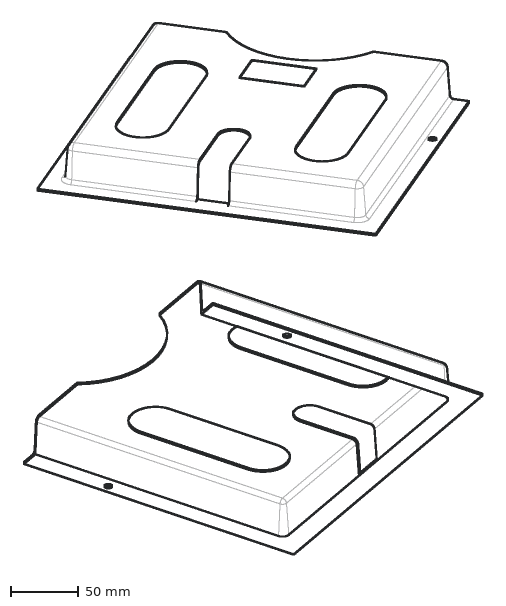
import cadquery as cq
import math

width = 264.0
depth = 238.0
height = 32.0
sheet = 1.5
front_y = -depth / 2
rear_y = depth / 2

top_edge_x = 110.4
top_front_margin = 23.5
top_front_y = front_y + top_front_margin
draft = math.radians(4.3)
top_radius = 5.0
toe_radius = 3.0

slot_width = 40.5
slot_length = 135.2
slot_offset_x = 70.0
slot_center_y = rear_y - 124.3
notch_width = 24.8
notch_end_y = rear_y - 156.5
scoop_width = 114.8
scoop_depth = 30.4
label_width = 50.5
label_length = 31.5
label_depth = 0.5
label_center_y = rear_y - 56.0
hole_diameter = 5.8
hole_edge_margin = 7.0
hole_y = rear_y - 70.0

bend_z = height - top_radius
toe_center_z = sheet + toe_radius
toe_tangent_z = toe_center_z - toe_radius * math.sin(draft)


def wall_offset(radius, z):
    """Outward position of the sloping face tangent to the given top bend radius."""
    bend_tangent_z = bend_z + radius * math.sin(draft)
    return radius * math.cos(draft) + (bend_tangent_z - z) * math.tan(draft)


toe_tangent = wall_offset(top_radius, toe_tangent_z)
toe_end = toe_tangent + toe_radius * math.cos(draft)
inner_radius = top_radius - sheet
inner_foot = wall_offset(inner_radius, 0)


def bend_point(radius, angle):
    return radius * math.cos(angle), bend_z + radius * math.sin(angle)


def toe_point(angle):
    return toe_end - toe_radius * math.cos(angle), toe_center_z - toe_radius * math.sin(angle)


def wall_section(plane):
    """Closed wall profile from the flat top down to the flange."""
    mid_bend = (math.pi / 2 + draft) / 2
    return (
        cq.Workplane(plane)
        .moveTo(0, height)
        .threePointArc(bend_point(top_radius, mid_bend), bend_point(top_radius, draft))
        .lineTo(toe_tangent, toe_tangent_z)
        .threePointArc(toe_point(mid_bend), (toe_end, sheet))
        .lineTo(toe_end, 0)
        .lineTo(inner_foot, 0)
        .lineTo(*bend_point(inner_radius, draft))
        .threePointArc(bend_point(inner_radius, mid_bend), (0, height - sheet))
        .close()
    )


def side_wall():
    plane = cq.Plane((top_edge_x, top_front_y, 0), xDir=(1, 0, 0), normal=(0, -1, 0))
    return wall_section(plane).extrude(top_front_y - rear_y)


def front_wall():
    plane = cq.Plane((-top_edge_x, top_front_y, 0), xDir=(0, -1, 0), normal=(-1, 0, 0))
    return wall_section(plane).extrude(-2 * top_edge_x)


def corner_wall():
    """Quarter turn of the wall section between the front and right walls."""
    plane = cq.Plane((top_edge_x, top_front_y, 0), xDir=(1, 0, 0), normal=(0, -1, 0))
    return wall_section(plane).revolve(90, (0, 0), (0, -1))


def flange():
    """Base plate with the tray footprint removed, open at the rear."""
    plate = cq.Workplane("XY").box(width, depth, sheet, centered=(True, True, False))
    half_width = top_edge_x + inner_foot
    opening_front = top_front_y - inner_foot
    opening = (
        cq.Workplane("XY")
        .center(0, (opening_front + rear_y) / 2)
        .rect(2 * half_width, rear_y - opening_front)
        .extrude(sheet)
        .edges("|Z and <Y")
        .fillet(inner_foot)
    )
    return plate.cut(opening)


def top_plate():
    return (
        cq.Workplane("XY", origin=(0, (top_front_y + rear_y) / 2, height - sheet))
        .rect(2 * top_edge_x, rear_y - top_front_y)
        .extrude(sheet)
    )


def side_slots():
    return (
        cq.Workplane("XY")
        .pushPoints([(-slot_offset_x, slot_center_y), (slot_offset_x, slot_center_y)])
        .slot2D(slot_length, slot_width, 90)
        .extrude(height)
    )


def front_notch():
    """Round-ended notch through the top and front wall, stopping on the flange."""
    round_y = notch_end_y - notch_width / 2
    half = notch_width / 2
    return (
        cq.Workplane("XY", origin=(0, 0, sheet))
        .moveTo(-half, front_y)
        .lineTo(-half, round_y)
        .threePointArc((0, notch_end_y), (half, round_y))
        .lineTo(half, front_y)
        .close()
        .extrude(height)
    )


def rear_scoop():
    radius = ((scoop_width / 2) ** 2 + scoop_depth ** 2) / (2 * scoop_depth)
    return cq.Workplane("XY").center(0, rear_y - scoop_depth + radius).circle(radius).extrude(height)


def label_recess():
    return (
        cq.Workplane("XY", origin=(0, label_center_y, height - label_depth))
        .rect(label_width, label_length)
        .extrude(label_depth)
    )


def mounting_holes():
    hole_x = width / 2 - hole_edge_margin
    return (
        cq.Workplane("XY")
        .pushPoints([(-hole_x, hole_y), (hole_x, hole_y)])
        .circle(hole_diameter / 2)
        .extrude(sheet)
    )


result = flange().union(top_plate()).union(front_wall())
for wall in (side_wall(), corner_wall()):
    result = result.union(wall).union(wall.mirror("YZ"))
for cutter in (side_slots(), front_notch(), rear_scoop(), label_recess(), mounting_holes()):
    result = result.cut(cutter)